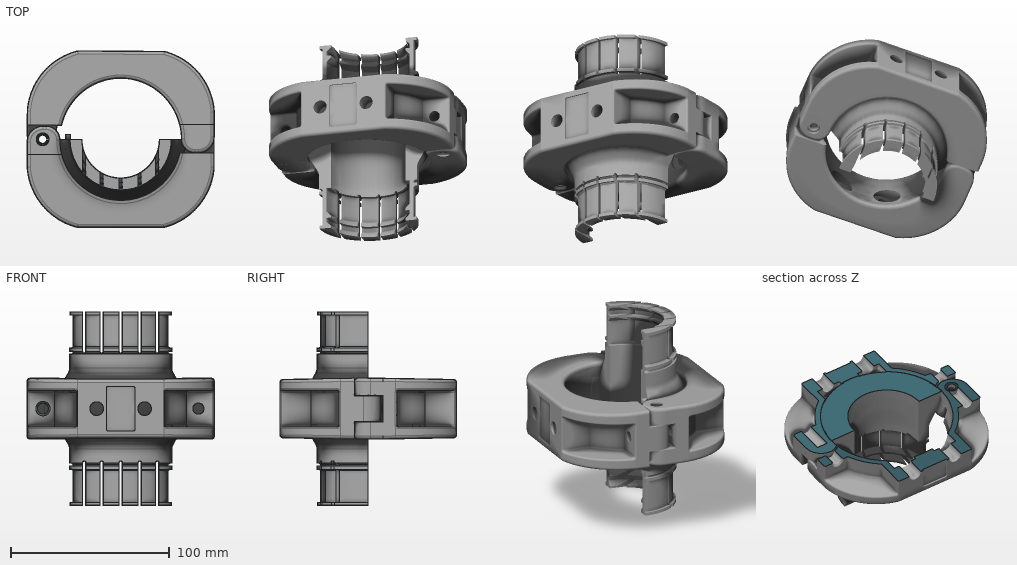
import cadquery as cq
import math

half_width = 58.97
half_depth = 55.57
half_height = 19.2
top_draft = 1.0
flat_half_length = 27.2
corner_start = 17.5
corner_radius = 42.1
edge_fillet = 2.0

ball_radius = 41.75

knuckle_root = 9.6
lug_root = 8.6
knuckle_tip = 8.2
seat_throat = 38.3
knuckle_outer_round = 10.0
knuckle_inner_round = 8.6
lug_tip = 8.1
lug_outer_round = 11.0
lug_inner_round = 8.6
lug_inner_x = 39.3
lug_half_height = 8.1
slot_half_height = 8.4

pocket_wall_radius = ball_radius + 3.75
pocket_side = 27.8
pocket_shoulder = 18.4
pocket_half_height = 11.5
pocket_floor_fillet = 1.2
pocket_rim_fillet = 1.15

screw_x = 49.0
screw_diameter = 7.0
screw_mouth_diameter = 9.0
side_hole_x = 15.1
side_hole_diameter = 8.6
plug_diameter = 16.0
plug_bottom = 43.4
badge_width = 18.0
badge_height = 28.2
badge_round = 1.2
badge_depth = 1.0

closing_tilt = -0.35

hinge_x = -49.2
spring_pin_diameter = 8.0
spring_pin_bore = 5.2
spring_pin_slot = 1.2
spring_pin_recess = 2.0
spring_pin_chamfer = 0.5

bushing_half_length = 61.0
finger_bore_radius = 27.3
rib_radius = 24.4
rib_tip_height = 1.4
second_rib_top = 54.2
finger_radius = 29.95
end_flange_radius = 31.9
end_flange_bottom = 59.0
collar_radius = 32.2
collar_top = 38.2
collar_bottom = 36.1
finger_foot = 0.9
groove_bottom = 34.3
neck_bottom = 25.5
flare_angle = 30.0
flare_blend_height = 3.1

slit_positions = (-23.0, -12.0, 0.0, 12.0, 23.0)
slit_width = 1.9
upper_slit_end = 35.0
lower_slit_end = -33.0

dowel_diameter = 3.2
dowel_x = -33.1
dowel_z = 16.5
dowel_reach = 3.1
dowel_depth = 6.0

beyond = 200.0


def corner_midpoint(side):
    """Middle of the arc from the end of the flank to the end of the front flat."""
    across = half_width - flat_half_length
    along = half_depth - corner_start
    chord = math.hypot(across, along)
    rise = corner_radius - math.sqrt(corner_radius ** 2 - chord ** 2 / 4)
    x = (half_width + flat_half_length) / 2 + rise * along / chord
    y = -(half_depth + corner_start) / 2 - rise * across / chord
    return (side * x, y)


def circle_point(center_x, center_y, radius, angle):
    """Point at the given angle, in degrees, on a circle."""
    turn = math.radians(angle)
    return (center_x + radius * math.cos(turn), center_y + radius * math.sin(turn))


def half_ring():
    """Half ring with drafted top and bottom, spherical seat and rounded edges."""
    ring = (
        cq.Workplane("XY")
        .moveTo(-half_width, -knuckle_root)
        .lineTo(-half_width, -corner_start)
        .threePointArc(corner_midpoint(-1), (-flat_half_length, -half_depth))
        .lineTo(flat_half_length, -half_depth)
        .threePointArc(corner_midpoint(1), (half_width, -corner_start))
        .lineTo(half_width, -lug_root)
        .lineTo(0, -lug_root)
        .lineTo(0, -knuckle_root)
        .close()
        .extrude(half_height, both=True)
    )
    thinning = (half_depth - lug_root) * math.tan(math.radians(top_draft))
    wedge = (
        cq.Workplane("YZ")
        .moveTo(-lug_root, half_height)
        .lineTo(-half_depth, half_height - thinning)
        .lineTo(-half_depth, thinning - half_height)
        .lineTo(-lug_root, -half_height)
        .close()
        .extrude(half_width, both=True)
    )
    ring = ring.intersect(wedge).cut(cq.Workplane("XY").sphere(ball_radius))
    shoulder_limit = -knuckle_root - edge_fillet
    clear_of_shoulders = cq.selectors.BoxSelector(
        (-beyond, -beyond, -beyond),
        (beyond, shoulder_limit, beyond),
    )
    return ring.faces(">Z or <Z").edges(clear_of_shoulders).fillet(edge_fillet)


def knuckle_blank():
    """Hinge knuckle over the full height; its inner side follows the rim of the seat."""
    outer_center_x = -half_width + knuckle_outer_round
    outer_center_y = knuckle_tip - knuckle_outer_round
    inner_center_x = -seat_throat - knuckle_inner_round
    inner_center_y = knuckle_tip - knuckle_inner_round
    rim_angle = math.degrees(math.asin(knuckle_root / seat_throat))
    rim_end = circle_point(0, 0, seat_throat, 180 + rim_angle)
    knuckle = (
        cq.Workplane("XY")
        .moveTo(-half_width, -knuckle_root)
        .lineTo(-half_width, outer_center_y)
        .threePointArc(circle_point(outer_center_x, outer_center_y, knuckle_outer_round, 135),
                       (outer_center_x, knuckle_tip))
        .lineTo(inner_center_x, knuckle_tip)
        .threePointArc(circle_point(inner_center_x, inner_center_y, knuckle_inner_round, 45),
                       (-seat_throat, inner_center_y))
        .threePointArc(circle_point(0, 0, seat_throat, 180 + rim_angle / 2), rim_end)
        .close()
        .extrude(half_height, both=True)
    )
    knuckle = knuckle.faces("|Z").edges("not <Y").fillet(edge_fillet)
    return knuckle.cut(cq.Workplane("XY").sphere(ball_radius))


def knuckle_slot():
    """Opening between the knuckles; its inner end curves around the mating lug."""
    bend = knuckle_outer_round
    bend_x = -half_width + bend
    bend_y = bend - knuckle_root
    return (
        cq.Workplane("XY")
        .moveTo(-half_width - bend, -knuckle_root)
        .lineTo(bend_x, -knuckle_root)
        .threePointArc(circle_point(bend_x, bend_y, bend, -45), (bend_x + bend, bend_y))
        .lineTo(bend_x + bend, knuckle_root)
        .lineTo(-half_width - bend, knuckle_root)
        .close()
        .extrude(slot_half_height, both=True)
    )


def middle_lug():
    """Tongue that fits between the knuckles of the other half."""
    width = half_width - lug_inner_x
    length = lug_tip + knuckle_root
    lug = (
        cq.Workplane("XY")
        .box(width, length, 2 * lug_half_height)
        .translate((lug_inner_x + width / 2, lug_tip - length / 2, 0))
    )
    lug = lug.edges("|Z and >X and >Y").fillet(lug_outer_round)
    lug = lug.edges("|Z and <X and >Y").fillet(lug_inner_round)
    return lug.cut(cq.Workplane("XY").sphere(ball_radius))


def corner_pocket(side):
    """Pocket in one outer corner, bounded by two walls and the shell of the seat."""
    block = (
        cq.Workplane("XY")
        .box(beyond, beyond, 2 * pocket_half_height)
        .translate((-pocket_side - beyond / 2, -pocket_shoulder - beyond / 2, 0))
    )
    shell = cq.Workplane("XY").circle(pocket_wall_radius).extrude(half_height, both=True)
    pocket = block.cut(shell)
    pocket = pocket.faces("|Z").edges(">X or >Y or %CIRCLE").fillet(pocket_floor_fillet)
    return pocket if side < 0 else pocket.mirror("YZ")


def hole_along_y(x, diameter, y_start, length):
    """Cylinder along Y, for holes square to the parting plane."""
    hole = cq.Workplane("XZ").circle(diameter / 2).extrude(-length)
    return hole.translate((x, y_start, 0))


def pocketed_ring():
    """Half ring with both corner pockets; the pocket openings are the only inner loops on its faces."""
    ring = half_ring()
    for side in (-1, 1):
        ring = ring.cut(corner_pocket(side))
    rims = [edge for face in ring.faces().vals() for wire in face.innerWires() for edge in wire.Edges()]
    return ring.newObject(rims).fillet(pocket_rim_fillet)


def clamp_half():
    half = pocketed_ring().union(knuckle_blank())
    half = half.cut(knuckle_slot()).union(middle_lug())
    for side in (-1, 1):
        half = half.cut(hole_along_y(side * side_hole_x, side_hole_diameter, -half_depth, half_depth))
        half = half.cut(hole_along_y(side * side_hole_x, plug_diameter, -plug_bottom, plug_bottom))
        half = half.cut(hole_along_y(side * screw_x, screw_diameter, -half_depth, half_depth))
    countersink = (
        cq.Workplane("XZ", origin=(-screw_x, -pocket_shoulder, 0))
        .circle(screw_mouth_diameter / 2)
        .workplane(offset=(screw_diameter - screw_mouth_diameter) / 2)
        .circle(screw_diameter / 2)
        .loft()
    )
    badge = (
        cq.Workplane("XZ", origin=(0, -half_depth, 0))
        .rect(badge_width, badge_height)
        .extrude(-badge_depth)
        .edges("|Y")
        .fillet(badge_round)
    )
    return half.cut(countersink).cut(badge)


def hinge_cylinder(diameter, half_length):
    hinge_axis = cq.Workplane("XY", origin=(hinge_x, 0, 0))
    return hinge_axis.circle(diameter / 2).extrude(half_length, both=True)


def hinge_hole():
    return hinge_cylinder(spring_pin_diameter, half_height)


def spring_pin():
    half_length = half_height - spring_pin_recess
    pin = hinge_cylinder(spring_pin_diameter, half_length).faces("|Z").chamfer(spring_pin_chamfer)
    bore = hinge_cylinder(spring_pin_bore, half_length)
    slot = cq.Workplane("XY").box(spring_pin_diameter, spring_pin_slot, 2 * half_length)
    slot = slot.translate((hinge_x + spring_pin_diameter / 2, 0, 0))
    return pin.cut(bore).cut(slot)


def flare_meets_ball(cone_radius, cone_z, slope):
    """Point (radius, z) where the flare, widening downward from the given point, meets the ball."""
    a = slope ** 2 + 1
    b = 2 * (cone_radius * slope - cone_z)
    c = cone_radius ** 2 + cone_z ** 2 - ball_radius ** 2
    drop = (-b + math.sqrt(b ** 2 - 4 * a * c)) / (2 * a)
    return (cone_radius + slope * drop, cone_z - drop)


def bushing_upper_half():
    """Solid of revolution above the mid plane, turned through the half circle on the -Y side."""
    angle = math.radians(flare_angle)
    blend_radius = flare_blend_height / math.sin(angle)
    blend_center = (collar_radius + blend_radius, neck_bottom)
    blend_end = circle_point(*blend_center, blend_radius, 180 + flare_angle)
    blend_middle = circle_point(*blend_center, blend_radius, 180 + flare_angle / 2)
    flare_end = flare_meets_ball(*blend_end, math.tan(angle))
    ball_latitude = math.degrees(math.atan2(flare_end[1], flare_end[0]))
    rib_depth = finger_bore_radius - rib_radius
    first_rib_tip = bushing_half_length - rib_tip_height
    second_rib_tip = second_rib_top - rib_tip_height
    profile = (
        cq.Workplane("XZ")
        .moveTo(rib_radius, 0)
        .lineTo(ball_radius, 0)
        .threePointArc(circle_point(0, 0, ball_radius, ball_latitude / 2), flare_end)
        .lineTo(*blend_end)
        .threePointArc(blend_middle, (collar_radius, neck_bottom))
        .lineTo(collar_radius, groove_bottom)
        .lineTo(finger_radius + finger_foot, groove_bottom)
        .lineTo(finger_radius, groove_bottom + finger_foot)
        .lineTo(finger_radius, collar_bottom)
        .lineTo(collar_radius, collar_bottom)
        .lineTo(collar_radius, collar_top)
        .lineTo(finger_radius + finger_foot, collar_top)
        .lineTo(finger_radius, collar_top + finger_foot)
        .lineTo(finger_radius, end_flange_bottom)
        .lineTo(end_flange_radius, end_flange_bottom)
        .lineTo(end_flange_radius, bushing_half_length)
        .lineTo(rib_radius, bushing_half_length)
        .lineTo(rib_radius, first_rib_tip)
        .lineTo(finger_bore_radius, first_rib_tip - rib_depth)
        .lineTo(finger_bore_radius, second_rib_top)
        .lineTo(rib_radius, second_rib_top)
        .lineTo(rib_radius, second_rib_tip)
        .lineTo(finger_bore_radius, second_rib_tip - rib_depth)
        .lineTo(finger_bore_radius, groove_bottom)
        .lineTo(rib_radius, groove_bottom)
        .close()
    )
    return profile.revolve(180, (0, 0, 0), (0, -1, 0))


def finger_slit(x, round_end, open_end):
    """Slit between two fingers with a round inner end, cut straight along Y."""
    direction = math.copysign(1, open_end - round_end)
    center_z = round_end + direction * slit_width / 2
    middle_z = (center_z + open_end) / 2
    slit = cq.Workplane("XY").box(slit_width, beyond, abs(open_end - center_z)).translate((x, 0, middle_z))
    end = cq.Workplane("XZ").circle(slit_width / 2).extrude(beyond / 2, both=True)
    return slit.union(end.translate((x, 0, center_z)))


def dowel_pin():
    pin = cq.Workplane("XZ").circle(dowel_diameter / 2).extrude(dowel_depth + dowel_reach)
    return pin.translate((dowel_x, dowel_reach, dowel_z))


def bushing_half():
    upper = bushing_upper_half()
    bushing = upper.union(upper.mirror("XY"))
    for x in slit_positions:
        bushing = bushing.cut(finger_slit(x, upper_slit_end, bushing_half_length))
        bushing = bushing.cut(finger_slit(x, lower_slit_end, -bushing_half_length))
    return bushing.cut(dowel_pin())


front_clamp = clamp_half().cut(hinge_hole())
rear_clamp = clamp_half().rotate((0, 0, 0), (0, 0, 1), 180 + closing_tilt).cut(hinge_hole())
pin = spring_pin()
bushing = bushing_half()
dowel = dowel_pin()

result = cq.Compound.makeCompound([
    front_clamp.solids().val(),
    rear_clamp.solids().val(),
    pin.solids().val(),
    bushing.solids().val(),
    dowel.solids().val(),
])